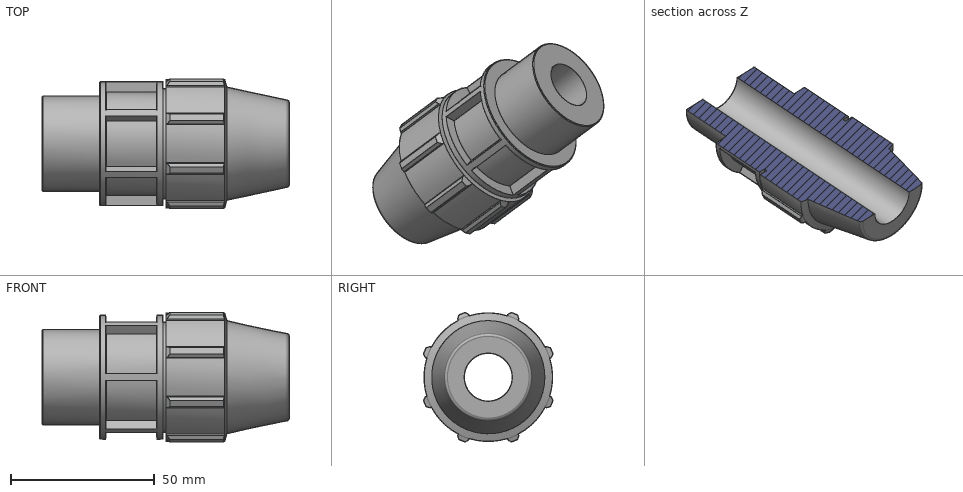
import cadquery as cq

spigot_end = 20.0
flange_rim_width = 2.1
flange_root_width = 2.3
groove_overshoot = 2.0
body_end = 42.0
nut_start = 43.0
nut_shoulder = 63.5
nut_end = 64.3
overall_length = 86.0

bore_radius = 16.62 / 2
spigot_radius = 33.25 / 2
flange_radius = 43.2 / 2
neck_radius = 38.4 / 2
core_radius = 18.05
nut_radius = 22.4
cone_start_radius = 19.7
cone_end_radius = 15.03

spigot_chamfer = 0.3
flange_chamfer = 0.3
cone_end_fillet = 1.0

web_count = 6
web_thickness = 2.45

grip_count = 8
grip_top_radius = 23.95
grip_knee_radius = 22.85
grip_top_half_width = 1.18
grip_base_half_width = 2.08
grip_front_ramp = 1.45
grip_back_ramp = 0.45
grip_root_radius = 21.0


def disc(start, end, radius):
    """Solid cylinder along X between two stations."""
    return cq.Workplane("YZ").workplane(offset=start).circle(radius).extrude(end - start)


def make_spigot():
    return disc(0, spigot_end, spigot_radius).faces("<X").edges().chamfer(spigot_chamfer)


def make_webs():
    """Flat-sided plates across the axis, long and wide enough to span the groove."""
    span = 2 * (flange_radius + 2 * groove_overshoot)
    plate = (
        cq.Workplane("XY")
        .box(body_end - spigot_end, span, web_thickness, centered=(False, True, True))
        .translate((spigot_end, 0, 0))
    )
    webs = plate
    for index in range(1, web_count // 2):
        webs = webs.union(plate.rotate((0, 0, 0), (1, 0, 0), index * 360 / web_count))
    return webs


def make_pockets():
    """Ring groove with drafted walls, divided by the webs that stay in the body."""
    groove = (
        cq.Workplane("XY")
        .moveTo(spigot_end + flange_root_width, core_radius)
        .lineTo(spigot_end + flange_rim_width, flange_radius)
        .lineTo(spigot_end + flange_rim_width, flange_radius + groove_overshoot)
        .lineTo(body_end - flange_rim_width, flange_radius + groove_overshoot)
        .lineTo(body_end - flange_rim_width, flange_radius)
        .lineTo(body_end - flange_root_width, core_radius)
        .close()
        .revolve(360, (0, 0, 0), (1, 0, 0))
    )
    return groove.cut(make_webs())


def make_body():
    barrel = disc(spigot_end, body_end, flange_radius)
    barrel = barrel.faces("<X").edges().chamfer(flange_chamfer)
    body = barrel.cut(make_pockets()).union(make_spigot())
    return body.union(disc(body_end, nut_start, neck_radius))


def make_nut():
    """Nut barrel with a steep back shoulder and a tapering nose."""
    profile = (
        cq.Workplane("XY")
        .moveTo(nut_start, 0)
        .lineTo(nut_start, nut_radius)
        .lineTo(nut_shoulder, nut_radius)
        .lineTo(nut_end, cone_start_radius)
        .lineTo(overall_length, cone_end_radius)
        .lineTo(overall_length, 0)
        .close()
    )
    nut = profile.revolve(360, (0, 0, 0), (1, 0, 0))
    return nut.faces(">X").edges().fillet(cone_end_fillet)


def make_grip():
    """One grip rib on the +Y side: chamfered section with both ends ramped."""
    section = (
        cq.Workplane("YZ")
        .workplane(offset=nut_start)
        .polyline([
            (grip_root_radius, -grip_base_half_width),
            (grip_knee_radius, -grip_base_half_width),
            (grip_top_radius, -grip_top_half_width),
            (grip_top_radius, grip_top_half_width),
            (grip_knee_radius, grip_base_half_width),
            (grip_root_radius, grip_base_half_width),
        ])
        .close()
        .extrude(nut_end - nut_start)
    )
    side_outline = (
        cq.Workplane("XY")
        .polyline([
            (nut_start, grip_root_radius),
            (nut_start, nut_radius),
            (nut_start + grip_front_ramp, grip_top_radius),
            (nut_shoulder - grip_back_ramp, grip_top_radius),
            (nut_shoulder, nut_radius),
            (nut_shoulder, grip_root_radius),
        ])
        .close()
        .extrude(grip_base_half_width, both=True)
    )
    return section.intersect(side_outline)


def add_grips(nut):
    grip = make_grip()
    pitch = 360 / grip_count
    first_angle = pitch / 2
    for index in range(grip_count):
        nut = nut.union(grip.rotate((0, 0, 0), (1, 0, 0), first_angle + index * pitch))
    return nut


fitting = make_body().union(add_grips(make_nut()))
result = fitting.cut(disc(0, overall_length, bore_radius))